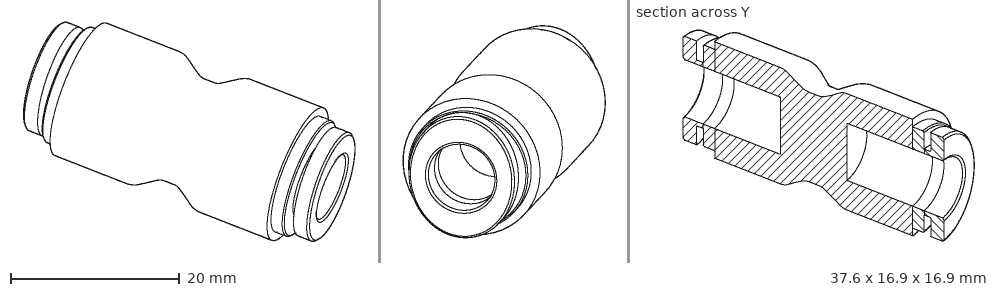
import cadquery as cq
import math


length = 37.6
middle = length / 2
bore_diameter = 8.2

flange_width = 13.0
flange_height = 15.05
flange_thickness = 2.0
flange_chamfer = 0.25
neck_diameter = 9.6
neck_fillet = 0.1
bore_chamfer = 0.3
bore_chamfer_depth = 0.23

collar_start = 2.9
collar_diameter = 14.7
collar_chamfer = 0.2

housing_start = 4.55
housing_diameter = 16.9
barrel_end = 14.0
waist_diameter = 13.0
waist_half_length = 0.65
blend_radius = 2.0

bore_depth = barrel_end


def disc(start, end, diameter):
    """Cylinder about the X axis from x = start to x = end."""
    return cq.Workplane("YZ", origin=(start, 0, 0)).circle(diameter / 2).extrude(end - start)


def tube_bore():
    """Blind bore for the tube, running in from the left end of the fitting."""
    return disc(0, bore_depth, bore_diameter)


def mirrored(body):
    """Copy of a body at the other end of the fitting."""
    return body.mirror("YZ", (middle, 0, 0))


def make_sleeve():
    """Release sleeve: flange, neck, fillet between them, and a chamfered bore."""
    flange = (
        cq.Workplane("YZ")
        .ellipse(flange_width / 2, flange_height / 2)
        .extrude(flange_thickness)
        .faces("<X")
        .chamfer(flange_chamfer)
    )
    neck_radius = neck_diameter / 2
    fillet_end = flange_thickness + neck_fillet
    fillet_middle = neck_fillet * (1 - math.sqrt(0.5))
    neck = (
        cq.Workplane("XY")
        .moveTo(flange_thickness, 0)
        .lineTo(flange_thickness, neck_radius + neck_fillet)
        .threePointArc(
            (flange_thickness + fillet_middle, neck_radius + fillet_middle),
            (fillet_end, neck_radius),
        )
        .lineTo(collar_start, neck_radius)
        .lineTo(collar_start, 0)
        .close()
        .revolve(360, (0, 0, 0), (1, 0, 0))
    )
    bore_radius = bore_diameter / 2
    countersink = (
        cq.Workplane("XY")
        .lineTo(0, bore_radius + bore_chamfer)
        .lineTo(bore_chamfer_depth, bore_radius)
        .lineTo(bore_chamfer_depth, 0)
        .close()
        .revolve(360, (0, 0, 0), (1, 0, 0))
    )
    return flange.union(neck).cut(tube_bore()).cut(countersink)


def make_collar():
    """Plain ring with a chamfered outer edge, seated on the housing face."""
    ring = disc(collar_start, housing_start, collar_diameter)
    return ring.faces("<X").chamfer(collar_chamfer).cut(tube_bore())


def make_housing():
    """Turned housing: two barrels joined by a waist through arcs and cones, with a blind bore at each end."""
    barrel_radius = housing_diameter / 2
    waist_radius = waist_diameter / 2
    waist_start = middle - waist_half_length

    run = waist_start - barrel_end
    rise = waist_radius - barrel_radius + 2 * blend_radius
    cone_angle = math.asin(2 * blend_radius / math.hypot(run, rise)) - math.atan2(rise, run)

    def shoulder_point(angle):
        """Point on the shoulder arc, turned by an angle from the end of the barrel."""
        x = barrel_end + blend_radius * math.sin(angle)
        return x, barrel_radius - blend_radius * (1 - math.cos(angle))

    def waist_point(angle):
        """Point on the waist arc, turned by an angle from the start of the waist."""
        x = waist_start - blend_radius * math.sin(angle)
        return x, waist_radius + blend_radius * (1 - math.cos(angle))

    left_half = (
        cq.Workplane("XY")
        .moveTo(housing_start, 0)
        .lineTo(housing_start, barrel_radius)
        .lineTo(barrel_end, barrel_radius)
        .threePointArc(shoulder_point(cone_angle / 2), shoulder_point(cone_angle))
        .lineTo(*waist_point(cone_angle))
        .threePointArc(waist_point(cone_angle / 2), (waist_start, waist_radius))
        .lineTo(middle, waist_radius)
        .lineTo(middle, 0)
        .close()
        .revolve(360, (0, 0, 0), (1, 0, 0))
        .cut(tube_bore())
    )
    return left_half.union(mirrored(left_half))


housing = make_housing()
end_bodies = []
for left_body in (make_sleeve(), make_collar()):
    end_bodies += [left_body.val(), mirrored(left_body).val()]

result = cq.Compound.makeCompound([housing.val(), *end_bodies])